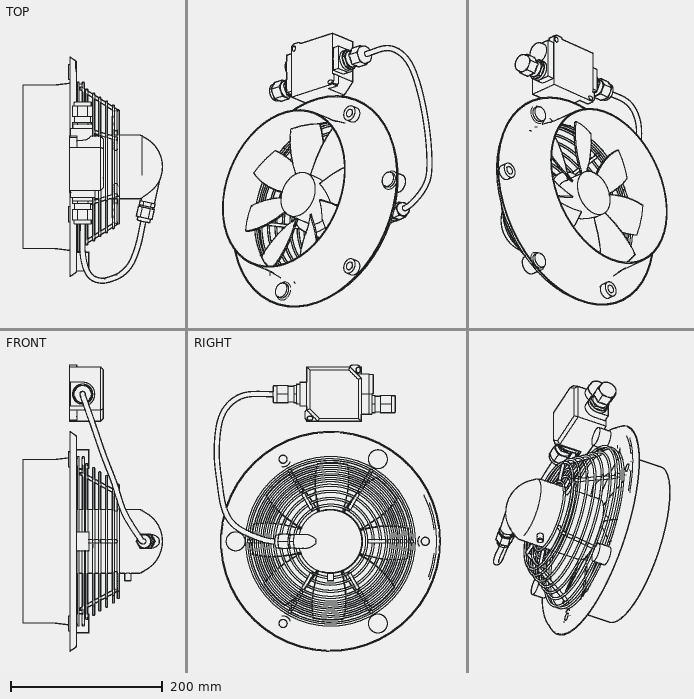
import cadquery as cq
import math


DUCT_RADIUS = 108.0
DUCT_LENGTH = 42.2
WALL = 1.5
CONE_END_X = 62.2
CONE_END_RADIUS = 110.5
BELL_RADIUS = 7.0
RIM_RADIUS = 145.0
RIM_FRONT_X = 62.0
PLATE_RADIUS = 139.0
RIM_BEND_RADIUS = 1.5
PAD_CIRCLE = 125.0
PAD_RADIUS = 10.0
OPEN_PAD_FRONT_X = 59.8
SOLID_PAD_FRONT_X = 65.5
PAD_HOLE_RADIUS = 5.2
FOOT_RADIUS = 12.5
FOOT_END_X = 86.8
PADS_PER_KIND = 3
RADIUS_TOLERANCE = 0.01

plate_front_x = CONE_END_X + BELL_RADIUS
plate_back_x = plate_front_x + WALL

HUB_RADIUS = 30.2
HUB_FRONT_X = 28.4
HUB_BACK_X = 66.0
NOSE_HEIGHT = 11.0
BLADE_COUNT = 8
BLADE_TIP_RADIUS = 104.0
BLADE_THICKNESS = 2.0
LEADING_X = 40.0
BLADE_STATIONS = [
    (26.0, 11.0, -11.0, 65.0),
    (69.0, 23.0, -20.0, 57.0),
    (106.0, 21.5, -16.0, 52.0),
]

MOTOR_RADIUS = 42.2
MOTOR_EDGE_X = 153.8
BEVEL_X = 156.7
BEVEL_RADIUS = 41.3
DOME_START_X = 159.5
DOME_START_RADIUS = 39.3
MOTOR_END_X = 184.12
STUD_X = 138.4
STUD_RADIUS = 4.2
STUD_REACH = 52.6
STUD_CHAMFER = 1.0
ARM_TILT = 12.5
ARM_RADIUS = 9.3
ARM_LENGTH = 30.0
ARM_END = (164.4, -46.7, 0.0)

WIRE_RADIUS = 1.4
SPOKE_RADIUS = 2.2
SPOKE_COUNT = 6
RING_SEAM_ANGLE = 17.0
GUARD_RINGS = [
    (72.8, 111.9), (79.5, 111.9), (84.2, 103.0), (93.3, 97.7), (101.3, 92.0),
    (110.4, 87.0), (119.2, 81.6), (125.7, 75.4), (119.0, 67.4), (119.0, 57.9), (125.7, 49.2),
]
SPOKE_FOOT = [(72.8, 107.3), (79.5, 107.3)]
SPOKE_MAIN = [(75.5, 104.0), (122.4, 74.6), (122.4, 47.4)]

BOX_SIZE = 72.0
BOX_FRONT_X = 61.4
BOX_DEPTH = 44.8
BOX_CENTER_Y = 4.7
BOX_CENTER_Z = 194.0
BOX_CORNER_CUT = 15.0
BOX_BACK_CHAMFER = 4.0
LUG_DEPTH = 9.6
LUG_SIZE = 14.0
LUG_OVERHANG = 2.52
LUG_INSET = 1.5
LUG_ROUND = 4.0
LUG_SLOT_LENGTH = 7.0
LUG_SLOT_WIDTH = 5.0
LUG_SLOT_OFFSET = 4.2
PORT_X = 78.8
PORT_FRONT_X = 63.0
CABLE_PORT_HEIGHT = 9.1
CABLE_PORT_RADIUS = 15.9
TWIN_PORT_HEIGHT = 9.8
TWIN_PORT_ROOT = 8.0
TWIN_PORT_RADIUS = 13.4
TWIN_PORT_PITCH = 26.4
PLUG_HEIGHT = 6.0
PLUG_ROUND = 1.3
PLUG_RADIUS = 13.0

BOX_GLAND = [(0, 13.3, 4.3), (6, 13.4, 3.7), (0, 10.6, 7.7), (6, 13.3, 14.2)]
BOX_GLAND_CAP = (11.4, 5.2)
MOTOR_GLAND = [(6, 10.3, 5.5), (0, 8.6, 2.0), (6, 10.8, 13.5)]
MOTOR_GLAND_CAP = (8.6, 5.0)
CAP_ROUND = 1.5

CABLE_RADIUS = 3.5
CABLE_LEAD = 5.0
CABLE_BENDS = [
    (79.2, -116.9, 191.5), (85.8, -139.6, 172.7), (96.5, -148.6, 142.0), (108.2, -149.75, 108.5),
    (121.3, -145.8, 74.4), (133.5, -138.2, 38.0), (141.5, -129.0, 23.5), (148.2, -114.5, 13.0),
    (153.4, -97.5, 5.5),
]


def spin_x(shape, degrees):
    return shape.rotate((0, 0, 0), (1, 0, 0), degrees)


def disc_x(radius, x_start, x_end, y=0.0, z=0.0):
    """Cylinder parallel to X."""
    return cq.Workplane("YZ", origin=(x_start, y, z)).circle(radius).extrude(x_end - x_start)


def gland(stages, cap):
    """Cable gland standing on the XY plane and pointing along +Z."""
    height = 0.0
    body = None
    for sides, radius, length in stages:
        section = cq.Workplane("XY").workplane(offset=height)
        if sides:
            section = section.polygon(sides, 2 * radius)
        else:
            section = section.circle(radius)
        stage = section.extrude(length)
        body = stage if body is None else body.union(stage)
        height += length
    cap_radius, cap_length = cap
    cap_body = cq.Workplane("XY").workplane(offset=height).circle(cap_radius).extrude(cap_length)
    return body.union(cap_body.faces(">Z").edges().fillet(CAP_ROUND))


def gland_length(stages, cap):
    return sum(length for _, _, length in stages) + cap[1]


def place(body, origin, direction):
    """Move a body from the XY plane so that its +Z axis points along direction."""
    plane = cq.Plane(origin=origin, xDir=(direction[1], -direction[0], 0), normal=direction)
    return cq.Workplane(obj=body.val().moved(plane.location))


def make_housing():
    inner_radius = DUCT_RADIUS - WALL
    bell_center_radius = CONE_END_RADIUS + BELL_RADIUS
    diagonal = math.sqrt(0.5)
    outer_mid = BELL_RADIUS * diagonal
    inner_bell = BELL_RADIUS + WALL
    inner_mid = inner_bell * diagonal
    shell = (
        cq.Workplane("XY")
        .moveTo(0, inner_radius)
        .lineTo(0, DUCT_RADIUS)
        .lineTo(DUCT_LENGTH, DUCT_RADIUS)
        .lineTo(CONE_END_X, CONE_END_RADIUS)
        .threePointArc(
            (CONE_END_X + outer_mid, bell_center_radius - outer_mid), (plate_front_x, bell_center_radius)
        )
        .lineTo(plate_front_x, PLATE_RADIUS - WALL)
        .lineTo(RIM_FRONT_X, RIM_RADIUS - WALL)
        .lineTo(RIM_FRONT_X, RIM_RADIUS)
        .lineTo(plate_back_x, PLATE_RADIUS)
        .lineTo(plate_back_x, bell_center_radius)
        .threePointArc(
            (CONE_END_X + inner_mid, bell_center_radius - inner_mid),
            (CONE_END_X, bell_center_radius - inner_bell),
        )
        .lineTo(DUCT_LENGTH, inner_radius)
        .close()
        .revolve(360, (0, 0, 0), (1, 0, 0))
    )
    plate_edge_radii = (PLATE_RADIUS - WALL, PLATE_RADIUS)
    for edge_radius, bend in zip(plate_edge_radii, (RIM_BEND_RADIUS, RIM_BEND_RADIUS + WALL)):
        plate_edges = shell.edges().filter(
            lambda edge: edge.geomType() == "CIRCLE" and abs(edge.radius() - edge_radius) < RADIUS_TOLERANCE
        )
        shell = plate_edges.fillet(bend)
    for i in range(PADS_PER_KIND):
        pad_angle = 360 / PADS_PER_KIND * i
        solid_pad = disc_x(PAD_RADIUS, SOLID_PAD_FRONT_X, plate_back_x, y=-PAD_CIRCLE)
        foot = disc_x(FOOT_RADIUS, plate_front_x, FOOT_END_X, y=-PAD_CIRCLE)
        open_pad = disc_x(PAD_RADIUS, OPEN_PAD_FRONT_X, plate_back_x, y=PAD_CIRCLE)
        hole = disc_x(PAD_HOLE_RADIUS, OPEN_PAD_FRONT_X, plate_back_x, y=PAD_CIRCLE)
        for pad in (solid_pad, foot, open_pad):
            shell = shell.union(spin_x(pad, pad_angle))
        shell = shell.cut(spin_x(hole, pad_angle))
    return shell


def make_blade():
    """Twisted blade pointing along +Z, trimmed to the tip circle."""
    blade = cq.Workplane("XY")
    last_radius = 0.0
    for radius, leading_y, trailing_y, trailing_x in BLADE_STATIONS:
        chord_x = trailing_x - LEADING_X
        chord_y = trailing_y - leading_y
        chord = math.hypot(chord_x, chord_y)
        half_x = -chord_y / chord * BLADE_THICKNESS / 2
        half_y = chord_x / chord * BLADE_THICKNESS / 2
        blade = blade.workplane(offset=radius - last_radius).polyline([
            (LEADING_X + half_x, leading_y + half_y),
            (trailing_x + half_x, trailing_y + half_y),
            (trailing_x - half_x, trailing_y - half_y),
            (LEADING_X - half_x, leading_y - half_y),
        ]).close()
        last_radius = radius
    tip_cylinder = disc_x(BLADE_TIP_RADIUS, 0, MOTOR_END_X)
    return blade.loft(combine=True).intersect(tip_cylinder)


def make_impeller():
    nose_radius = (HUB_RADIUS**2 + NOSE_HEIGHT**2) / (2 * NOSE_HEIGHT)
    nose_tip_x = HUB_FRONT_X - NOSE_HEIGHT
    half_angle = math.asin(HUB_RADIUS / nose_radius) / 2
    nose_mid = (
        nose_tip_x + nose_radius * (1 - math.cos(half_angle)),
        nose_radius * math.sin(half_angle),
    )
    impeller = (
        cq.Workplane("XY")
        .moveTo(nose_tip_x, 0)
        .threePointArc(nose_mid, (HUB_FRONT_X, HUB_RADIUS))
        .lineTo(HUB_BACK_X, HUB_RADIUS)
        .lineTo(HUB_BACK_X, 0)
        .close()
        .revolve(360, (0, 0, 0), (1, 0, 0))
    )
    blade = make_blade()
    for i in range(BLADE_COUNT):
        impeller = impeller.union(spin_x(blade, 360 / BLADE_COUNT * i))
    return impeller


arm_angle = math.radians(ARM_TILT)
arm_direction = cq.Vector(-math.sin(arm_angle), -math.cos(arm_angle), 0)
motor_gland_tip = cq.Vector(*ARM_END) + arm_direction * gland_length(MOTOR_GLAND, MOTOR_GLAND_CAP)


def make_motor():
    dome_depth = MOTOR_END_X - DOME_START_X
    dome_radius = (dome_depth**2 + DOME_START_RADIUS**2) / (2 * dome_depth)
    half_angle = math.asin(DOME_START_RADIUS / dome_radius) / 2
    dome_mid = (
        MOTOR_END_X - dome_radius * (1 - math.cos(half_angle)),
        dome_radius * math.sin(half_angle),
    )
    motor = (
        cq.Workplane("XY")
        .moveTo(HUB_BACK_X, 0)
        .lineTo(HUB_BACK_X, MOTOR_RADIUS)
        .lineTo(MOTOR_EDGE_X, MOTOR_RADIUS)
        .lineTo(BEVEL_X, BEVEL_RADIUS)
        .lineTo(DOME_START_X, DOME_START_RADIUS)
        .threePointArc(dome_mid, (MOTOR_END_X, 0))
        .close()
        .revolve(360, (0, 0, 0), (1, 0, 0))
    )
    stud = cq.Workplane("XY", origin=(STUD_X, 0, -STUD_REACH)).circle(STUD_RADIUS).extrude(STUD_REACH)
    stud = stud.faces("<Z").edges().chamfer(STUD_CHAMFER)
    arm = cq.Workplane("XY").circle(ARM_RADIUS).extrude(-ARM_LENGTH)
    arm = place(arm.union(gland(MOTOR_GLAND, MOTOR_GLAND_CAP)), ARM_END, arm_direction.toTuple())
    return motor.union(stud).union(arm)


def make_guard():
    foot_start, foot_end = SPOKE_FOOT
    foot = disc_x(SPOKE_RADIUS, foot_start[0], foot_end[0], y=foot_start[1])
    first, bend = (cq.Vector(*point) for point in SPOKE_MAIN[:2])
    spoke = (
        cq.Workplane(cq.Plane(origin=first.toTuple(), normal=(bend - first).toTuple()))
        .circle(SPOKE_RADIUS)
        .sweep(cq.Workplane("XY").polyline(SPOKE_MAIN), transition="right")
        .union(foot)
    )
    spokes = [spin_x(spoke, 360 / SPOKE_COUNT * i).val() for i in range(SPOKE_COUNT)]
    rings = [
        cq.Solid.makeTorus(
            outer_radius - WIRE_RADIUS, WIRE_RADIUS, cq.Vector(ring_x, 0, 0), cq.Vector(1, 0, 0)
        ).rotate(cq.Vector(0, 0, 0), cq.Vector(1, 0, 0), RING_SEAM_ANGLE)
        for ring_x, outer_radius in GUARD_RINGS
    ]
    return cq.Workplane(obj=spokes[0].fuse(*spokes[1:], *rings))


box_low_y = BOX_CENTER_Y - BOX_SIZE / 2
box_high_y = BOX_CENTER_Y + BOX_SIZE / 2
cable_port_face_y = box_low_y - CABLE_PORT_HEIGHT
twin_port_face_y = box_high_y + TWIN_PORT_HEIGHT
box_gland_tip = cq.Vector(
    PORT_X, cable_port_face_y - gland_length(BOX_GLAND, BOX_GLAND_CAP), BOX_CENTER_Z
)


def port_block(radius, centers_z, y_low, y_high):
    """Boss on a box side: square towards the front, round around each port towards the back."""
    height = y_high - y_low
    z_low = min(centers_z) - radius
    z_high = max(centers_z) + radius
    block = cq.Workplane("XY").box(PORT_X - PORT_FRONT_X, height, z_high - z_low, centered=False)
    block = block.translate((PORT_FRONT_X, y_low, z_low))
    for center_z in centers_z:
        round_part = cq.Workplane("XZ", origin=(PORT_X, y_high, center_z)).circle(radius).extrude(height)
        block = block.union(round_part)
    return block


def make_lug(center_y, center_z, size_y, size_z, slot_y, slot_z, slot_angle):
    """Screw lug at the front of a box corner, with its slot as a separate cutter."""
    lug = (
        cq.Workplane("YZ", origin=(BOX_FRONT_X, center_y, center_z))
        .rect(size_y, size_z)
        .extrude(LUG_DEPTH)
        .edges("|X")
        .fillet(LUG_ROUND)
    )
    slot = (
        cq.Workplane("YZ", origin=(BOX_FRONT_X, slot_y, slot_z))
        .slot2D(LUG_SLOT_LENGTH, LUG_SLOT_WIDTH, slot_angle)
        .extrude(LUG_DEPTH)
    )
    return lug, slot


def make_terminal_box():
    box_low_z = BOX_CENTER_Z - BOX_SIZE / 2
    box_high_z = BOX_CENTER_Z + BOX_SIZE / 2
    shell = (
        cq.Workplane("YZ", origin=(BOX_FRONT_X, BOX_CENTER_Y, BOX_CENTER_Z))
        .rect(BOX_SIZE, BOX_SIZE)
        .extrude(BOX_DEPTH)
    )
    for corner_y, corner_z, side in ((box_high_y, box_high_z, -1), (box_low_y, box_low_z, 1)):
        corner_cut = (
            cq.Workplane("YZ", origin=(BOX_FRONT_X + LUG_DEPTH, 0, 0))
            .polyline([
                (corner_y, corner_z),
                (corner_y + side * BOX_CORNER_CUT, corner_z),
                (corner_y, corner_z + side * BOX_CORNER_CUT),
            ])
            .close()
            .extrude(BOX_DEPTH)
        )
        shell = shell.cut(corner_cut)
    shell = shell.faces(">X").edges().chamfer(BOX_BACK_CHAMFER)

    lug_center_inset = LUG_SIZE / 2 + LUG_INSET
    lug_center_shift = (LUG_SIZE - LUG_OVERHANG) / 2
    top_lug, top_slot = make_lug(
        box_high_y - lug_center_inset, box_high_z - lug_center_shift,
        LUG_SIZE, LUG_SIZE + LUG_OVERHANG,
        box_high_y - LUG_SLOT_OFFSET, box_high_z - LUG_SLOT_OFFSET, 90,
    )
    low_lug, low_slot = make_lug(
        box_low_y + lug_center_shift, box_low_z + lug_center_inset,
        LUG_SIZE + LUG_OVERHANG, LUG_SIZE,
        box_low_y + LUG_SLOT_OFFSET, box_low_z + LUG_SLOT_OFFSET, 0,
    )
    shell = shell.union(top_lug).union(low_lug).cut(top_slot).cut(low_slot)

    plug_z = BOX_CENTER_Z + TWIN_PORT_PITCH / 2
    twin_gland_z = BOX_CENTER_Z - TWIN_PORT_PITCH / 2
    cable_port = port_block(CABLE_PORT_RADIUS, [BOX_CENTER_Z], cable_port_face_y, box_low_y)
    twin_port_root_y = box_high_y - TWIN_PORT_ROOT
    twin_port = port_block(TWIN_PORT_RADIUS, [plug_z, twin_gland_z], twin_port_root_y, twin_port_face_y)
    plug = cq.Workplane("XZ", origin=(PORT_X, twin_port_face_y + PLUG_HEIGHT, plug_z)).circle(PLUG_RADIUS)
    plug = plug.extrude(PLUG_HEIGHT + TWIN_PORT_HEIGHT)
    plug = plug.faces(">Y").edges().fillet(PLUG_ROUND)

    box_gland = gland(BOX_GLAND, BOX_GLAND_CAP)
    cable_gland = place(box_gland, (PORT_X, cable_port_face_y, BOX_CENTER_Z), (0, -1, 0))
    twin_gland = place(box_gland, (PORT_X, twin_port_face_y, twin_gland_z), (0, 1, 0))
    for fitting in (cable_port, twin_port, plug, cable_gland, twin_gland):
        shell = shell.union(fitting)
    return shell


def make_cable():
    box_lead = box_gland_tip + cq.Vector(0, -CABLE_LEAD, 0)
    motor_lead = motor_gland_tip + arm_direction * CABLE_LEAD
    bends = [cq.Vector(*bend) for bend in CABLE_BENDS]
    center_line = cq.Workplane("XY").spline([box_gland_tip, box_lead, *bends, motor_lead, motor_gland_tip])
    start = cq.Workplane("XZ", origin=box_gland_tip.toTuple())
    return start.circle(CABLE_RADIUS).sweep(center_line)


housing = make_housing()
impeller = make_impeller()
motor = make_motor()
guard = make_guard()
terminal_box = make_terminal_box()
cable = make_cable().cut(motor)
bodies = [housing, impeller, motor, guard, terminal_box, cable]
result = cq.Compound.makeCompound([body.solids().val() for body in bodies])